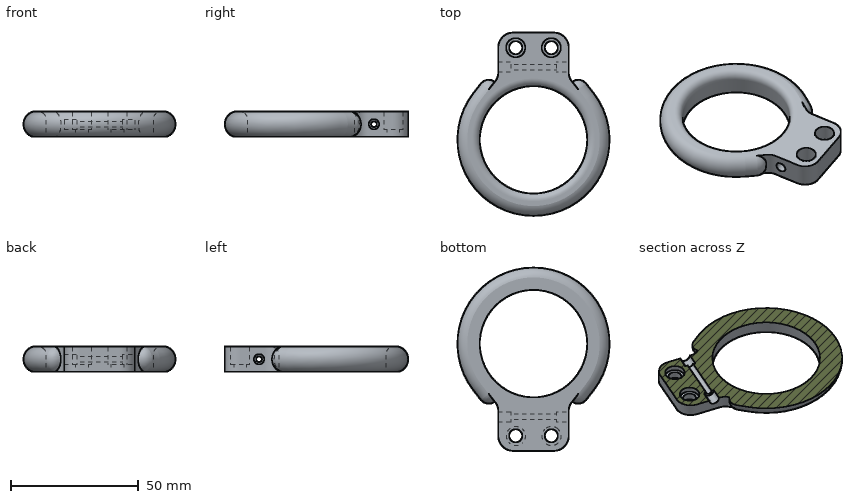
import cadquery as cq
import math

thickness = 10.0
bore_radius = 42.0 / 2
bore_rounding = 3.0
rim_inner_radius = 25.95
rim_outer_radius = 29.8
rim_width = rim_outer_radius - rim_inner_radius
rim_end_angle = 38.0
rim_straight_length = 4.75

tab_half_width = 13.9
tab_top = 42.05
tab_corner_radius = 6.0
shoulder_radius = 5.0

screw_x = 7.0
screw_y = 36.1
screw_diameter = 5.0
screw_head_diameter = 7.5
screw_head_depth = 7.0

cross_y = 28.6
cross_diameter = 2.15
cross_head_diameter = 4.0
cross_head_depth = 5.0

mid_height = thickness / 2
end_cos = math.cos(math.radians(rim_end_angle))
end_sin = math.sin(math.radians(rim_end_angle))
rim_end = (rim_inner_radius * end_cos, rim_inner_radius * end_sin)


def rim_section(plane, inner):
    """Bulging rim section whose flat side stands at the given distance."""
    return (
        cq.Workplane(plane)
        .moveTo(inner, 0)
        .threePointArc((inner + rim_width, mid_height), (inner, thickness))
        .close()
    )


def make_tab():
    """Tab with rounded corners and flared shoulders tangent to the ring."""
    shoulder_y = (rim_inner_radius - tab_half_width * end_cos) / end_sin
    right_side = [rim_end, (tab_half_width, shoulder_y), (tab_half_width, tab_top)]
    left_side = [(-x, y) for x, y in reversed(right_side)]
    tab = cq.Workplane("XY").polyline(right_side + left_side).close().extrude(thickness)
    tab = tab.edges("|Z and >Y").fillet(tab_corner_radius)
    shoulder_reach = 0.1
    shoulders = cq.selectors.BoxSelector(
        (-tab_half_width - shoulder_reach, shoulder_y - shoulder_reach, 0),
        (tab_half_width + shoulder_reach, shoulder_y + shoulder_reach, thickness),
    )
    return tab.edges("|Z").edges(shoulders).fillet(shoulder_radius)


def make_curved_rim():
    """Rim around the ring, open where the tab leaves it."""
    sweep = 180 + 2 * rim_end_angle
    start_plane = cq.Plane(origin=(0, 0, 0), xDir=(-end_cos, end_sin, 0), normal=(end_sin, end_cos, 0))
    return rim_section(start_plane, rim_inner_radius).revolve(sweep, (0, 0, 0), (0, 1, 0))


def make_right_rim_end():
    """Straight tangent run of the rim, closed by a rounded tip."""
    run_direction = (-end_sin, end_cos, 0)
    outward = (end_cos, end_sin, 0)
    backward = (end_sin, -end_cos, 0)
    start = cq.Plane(origin=(rim_end[0], rim_end[1], 0), xDir=outward, normal=backward)
    straight = rim_section(start, 0).extrude(-rim_straight_length)
    tip_origin = tuple(
        base + rim_straight_length * step for base, step in zip((*rim_end, 0), run_direction)
    )
    tip_plane = cq.Plane(origin=tip_origin, xDir=outward, normal=backward)
    tip = rim_section(tip_plane, 0).revolve(360, (0, 0, 0), (0, 1, 0))
    return straight.union(tip)


def make_bore():
    """Bore with a rounded mouth at the top face."""
    mouth_radius = bore_radius + bore_rounding
    inset = bore_rounding * (1 - math.sqrt(0.5))
    return (
        cq.Workplane("XZ")
        .moveTo(0, 0)
        .lineTo(bore_radius, 0)
        .lineTo(bore_radius, thickness - bore_rounding)
        .threePointArc((bore_radius + inset, thickness - inset), (mouth_radius, thickness))
        .lineTo(0, thickness)
        .close()
        .revolve(360, (0, 0, 0), (0, 1, 0))
    )


right_rim_end = make_right_rim_end()
body = (
    cq.Workplane("XY")
    .circle(rim_inner_radius)
    .extrude(thickness)
    .union(make_tab())
    .union(make_curved_rim())
    .union(right_rim_end)
    .union(right_rim_end.mirror("YZ"))
    .cut(make_bore())
)

body = (
    body.faces(">Z")
    .workplane(origin=(0, 0, thickness))
    .pushPoints([(-screw_x, screw_y), (screw_x, screw_y)])
    .cboreHole(screw_diameter, screw_head_diameter, screw_head_depth)
)

cross_hole = (
    cq.Workplane("YZ")
    .center(cross_y, mid_height)
    .circle(cross_diameter / 2)
    .extrude(tab_half_width, both=True)
)
cross_head = (
    cq.Workplane("YZ", origin=(tab_half_width - cross_head_depth, 0, 0))
    .center(cross_y, mid_height)
    .circle(cross_head_diameter / 2)
    .extrude(cross_head_depth)
)

result = body.cut(cross_hole).cut(cross_head).cut(cross_head.mirror("YZ"))